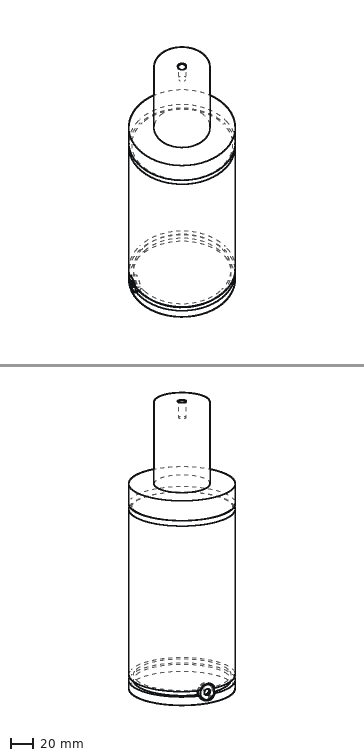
import cadquery as cq
import math

body_diameter = 95.0
body_height = 192.5
body_radius = body_diameter / 2

rod_diameter = 50.0
overall_height = 270.0
rod_edge_radius = 1.0

upper_groove_width = 5.0
upper_groove_middle = 171.25
upper_groove_radius = upper_groove_width / 2

lower_groove_bottom = 8.0
lower_groove_width = 5.0
lower_groove_depth = 4.0

rod_hole_diameter = 6.8
rod_hole_mouth_diameter = 8.0
rod_hole_depth = 15.0
drill_point_angle = 118.0

plug_diameter = 14.0
plug_height = lower_groove_bottom + lower_groove_width / 2
plug_face_offset = 47.0
plug_hole_diameter = 6.0
plug_hole_depth = 3.0
pocket_diameter = 16.0
pocket_floor_offset = 42.5


def ring_about_z(outer_radius, inner_radius, bottom, height):
    """Flat ring about the Z axis, standing on the given height."""
    base_plane = cq.Workplane("XY").workplane(offset=bottom)
    return base_plane.circle(outer_radius).circle(inner_radius).extrude(height)


def make_body():
    body = cq.Workplane("XY").circle(body_radius).extrude(body_height)
    upper_groove = cq.Workplane("XY").add(
        cq.Solid.makeTorus(body_radius, upper_groove_radius, cq.Vector(0, 0, upper_groove_middle))
    )
    lower_groove = ring_about_z(
        body_radius, body_radius - lower_groove_depth, lower_groove_bottom, lower_groove_width
    )
    return body.cut(upper_groove).cut(lower_groove)


def make_rod():
    rod = cq.Workplane("XY").circle(rod_diameter / 2).extrude(overall_height)
    return rod.faces(">Z").fillet(rod_edge_radius)


def cut_rod_hole(part):
    mouth_depth = (rod_hole_mouth_diameter - rod_hole_diameter) / 2
    hole_radius = rod_hole_diameter / 2
    point_depth = hole_radius / math.tan(math.radians(drill_point_angle / 2))
    hole_bottom = overall_height - rod_hole_depth
    profile = (
        cq.Workplane("XZ")
        .moveTo(0, overall_height)
        .lineTo(rod_hole_mouth_diameter / 2, overall_height)
        .lineTo(hole_radius, overall_height - mouth_depth)
        .lineTo(hole_radius, hole_bottom)
        .lineTo(0, hole_bottom - point_depth)
        .close()
    )
    return part.cut(profile.revolve(360, (0, 0, 0), (0, 1, 0)))


def valve_disc(diameter, inner_offset, outer_offset):
    """Disc on the valve axis between two distances from the Z axis, towards -Y."""
    plane = cq.Workplane("XZ", origin=(0, -inner_offset, plug_height))
    return plane.circle(diameter / 2).extrude(outer_offset - inner_offset)


def add_valve_plug(part):
    pocket = valve_disc(pocket_diameter, pocket_floor_offset, body_radius)
    plug = valve_disc(plug_diameter, pocket_floor_offset, plug_face_offset)
    hole = valve_disc(plug_hole_diameter, plug_face_offset - plug_hole_depth, plug_face_offset)
    return part.cut(pocket).union(plug).cut(hole)


result = add_valve_plug(cut_rod_hole(make_body().union(make_rod())))